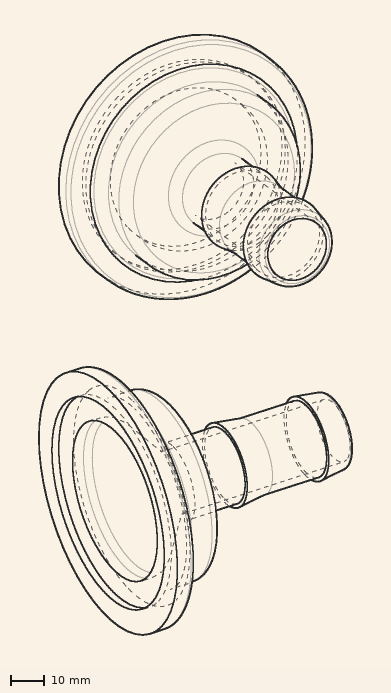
import cadquery as cq
import math


flange_radius = 83.06 / 2
flange_cone_angle = 20.0
flange_edge_radius = 1.524
flange_back_x = 8.2
flange_cone_foot_radius = 34.9
recess_radius = 67.31 / 2
recess_depth = 2.39

body_radius = 60.96 / 2
body_end_x = 21.84
body_fillet = 3.302

tail_radius = 24.38 / 2
total_length = 78.99
tail_root_fillet = 3.175
tail_tip_radius = 1.5
barb_radius = 26.92 / 2
barb_length = 9.525
barb_pitch = 28.575
barb_count = 2

inlet_radius = 50.8 / 2
outlet_radius = 19.81 / 2
funnel_start_x = 7.62
funnel_half_angle = 49.5
funnel_inlet_fillet = 3.175
funnel_outlet_fillet = 5.08


def revolve_about_x(profile):
    """Turn a closed (X, radius) profile about the X axis."""
    return profile.close().revolve(360, (0, 0, 0), (1, 0, 0))


def circle_at(solid, x, radius):
    """Select the full circular edge with the given X position and radius."""
    tolerance = 0.001

    def matches(edge):
        box = edge.BoundingBox()
        return (
            edge.geomType() == "CIRCLE"
            and abs(box.xmin - x) < tolerance
            and abs(box.xmax - x) < tolerance
            and abs(edge.radius() - radius) < tolerance
        )

    return solid.newObject([edge for edge in solid.edges().vals() if matches(edge)])


def make_outer_body():
    """Flange, body and tail up to the tip, with barbs and rounded corners."""
    cone_width = (flange_radius - flange_cone_foot_radius) * math.tan(math.radians(flange_cone_angle))
    flange_rim_x = flange_back_x - cone_width

    profile = (
        cq.Workplane("XY")
        .moveTo(0, 0)
        .lineTo(0, flange_radius)
        .lineTo(flange_rim_x, flange_radius)
        .lineTo(flange_back_x, flange_cone_foot_radius)
        .lineTo(flange_back_x, body_radius)
        .lineTo(body_end_x, body_radius)
        .lineTo(body_end_x, tail_radius)
    )
    for index in reversed(range(barb_count)):
        barb_end_x = total_length - index * barb_pitch
        barb_start_x = barb_end_x - barb_length
        profile = (
            profile.lineTo(barb_start_x, tail_radius)
            .lineTo(barb_start_x, barb_radius)
            .lineTo(barb_end_x, tail_radius)
        )
    solid = revolve_about_x(profile.lineTo(total_length, 0))

    solid = circle_at(solid, flange_rim_x, flange_radius).fillet(flange_edge_radius)
    solid = circle_at(solid, flange_back_x, body_radius).fillet(body_fillet)
    solid = circle_at(solid, body_end_x, body_radius).fillet(body_fillet)
    solid = circle_at(solid, body_end_x, tail_radius).fillet(tail_root_fillet)
    return circle_at(solid, total_length, tail_radius).fillet(tail_tip_radius)


def make_bore():
    """Wide inlet narrowing through a rounded funnel to the tail's through hole."""
    funnel_length = (inlet_radius - outlet_radius) / math.tan(math.radians(funnel_half_angle))
    funnel_end_x = funnel_start_x + funnel_length
    bore = revolve_about_x(
        cq.Workplane("XY")
        .moveTo(0, 0)
        .lineTo(0, inlet_radius)
        .lineTo(funnel_start_x, inlet_radius)
        .lineTo(funnel_end_x, outlet_radius)
        .lineTo(total_length, outlet_radius)
        .lineTo(total_length, 0)
    )
    bore = circle_at(bore, funnel_start_x, inlet_radius).fillet(funnel_inlet_fillet)
    return circle_at(bore, funnel_end_x, outlet_radius).fillet(funnel_outlet_fillet)


def make_face_recess():
    """Shallow round recess in the flange face."""
    return cq.Workplane("YZ").circle(recess_radius).extrude(recess_depth)


result = make_outer_body().cut(make_bore()).cut(make_face_recess())